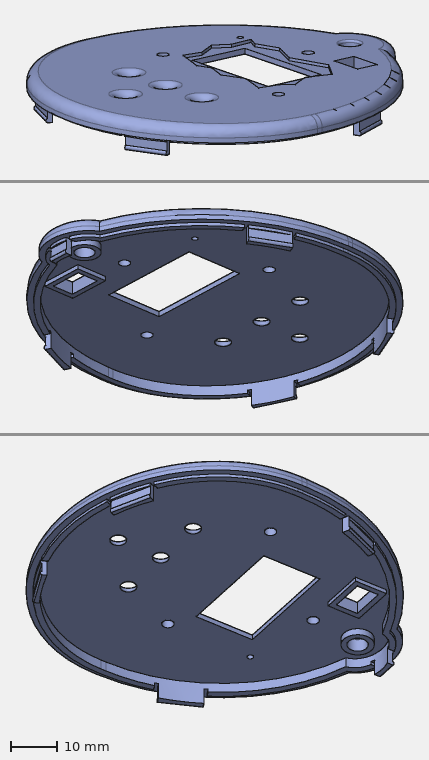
import cadquery as cq
import math

RIM_HEIGHT = 3.6
FLOOR_THICKNESS = 2.0
LIP_DEPTH = 0.8
TAB_DEPTH = 3.9
EDGE_RADIUS = 2.5

BODY_HALF_WIDTH = 40.2
LOWER_CENTRE_Y = -7.8
LOWER_HALF_HEIGHT = 35.45
UPPER_CENTRE_Y = -6.5
UPPER_RADIUS = 47.3

EAR_CENTRE_Y = 34.8
EAR_HALF_WIDTH = 10.0
EAR_HALF_HEIGHT = 8.5

LIP_INSET = 1.5
CAVITY_INSET = 2.9

TAB_LENGTH = 10.0
TOP_TAB_LENGTH = 5.0
TAB_TILT = 24.0
TAB_BLANK_DEPTH = 3.9
TAB_GAP = 0.9
HOOK_HEIGHT = 1.0
HOOK_REACH = 0.35
SIDE_TAB_X, SIDE_TAB_Y = 34.85, 11.2
LOWER_TAB_X, LOWER_TAB_Y = 17.9, -37.3
TOP_TAB_Y = 41.3
TABS = [
    (0, TOP_TAB_Y, 90, TOP_TAB_LENGTH),
    (SIDE_TAB_X, SIDE_TAB_Y, TAB_TILT, TAB_LENGTH),
    (-SIDE_TAB_X, SIDE_TAB_Y, 180 - TAB_TILT, TAB_LENGTH),
    (LOWER_TAB_X, LOWER_TAB_Y, TAB_TILT - 90, TAB_LENGTH),
    (-LOWER_TAB_X, LOWER_TAB_Y, -90 - TAB_TILT, TAB_LENGTH),
]

WINDOW_WIDTH, WINDOW_HEIGHT = 26.0, 14.6
WINDOW_CENTRE = (0, 7.95)
RECESS_DEPTH = 0.7
RECESS_OUTLINE = [
    (-15.7, 19.2), (-12.6, 17.7), (-6.75, 19.8), (0.4, 16.7), (10.1, 19.8), (16.25, 15.8),
    (14.4, 9.7), (17.3, 4.7), (15.4, 2.0), (14.4, -3.2), (7.1, -0.8), (1.55, -3.2),
    (-3.9, -1.3), (-7.4, -2.7), (-15.5, 0.1), (-14.7, 4.7), (-17.6, 9.8), (-15.5, 13.6),
]

PORT_WIDTH, PORT_HEIGHT = 8.0, 5.45
PORT_WALL = 1.3
PORT_DEPTH = 3.0
PORT_CENTRE = (12.5, 25.3)

SCREW_DIAMETER = 2.7
SCREW_POINTS = [(0, 22.3), (-18.6, -2.9), (20.9, -2.9)]
PIN_DIAMETER = 1.4
PIN_POINT = (-18.3, 18.3)
HANG_DIAMETER = 4.6
HANG_POINT = (0, 33.9)
HANG_COLLAR_DIAMETER = 7.2
HANG_ROUNDING = 0.5
BUTTON_DIAMETER = 3.6
BUTTON_FLARE = 1.8
BUTTON_PITCH = 12.45
BUTTON_ROW_Y = -17.4
LOWER_BUTTON_Y = -28.45
BUTTON_POINTS = [(i * BUTTON_PITCH, BUTTON_ROW_Y) for i in (-1, 0, 1)] + [(0, LOWER_BUTTON_Y)]


def body_slab(inset, bottom, height):
    """Egg-shaped slab with its outline moved inwards by inset."""
    half_width = BODY_HALF_WIDTH - inset
    radius = UPPER_RADIUS - inset
    arc_centre_x = half_width - radius
    apex_angle = math.acos(-arc_centre_x / radius)
    apex = (0, UPPER_CENTRE_Y + radius * math.sin(apex_angle))
    mid_x = arc_centre_x + radius * math.cos(apex_angle / 2)
    mid_y = UPPER_CENTRE_Y + radius * math.sin(apex_angle / 2)
    return (
        cq.Workplane("XY", origin=(0, 0, bottom))
        .moveTo(half_width, LOWER_CENTRE_Y)
        .lineTo(half_width, UPPER_CENTRE_Y)
        .threePointArc((mid_x, mid_y), apex)
        .threePointArc((-mid_x, mid_y), (-half_width, UPPER_CENTRE_Y))
        .lineTo(-half_width, LOWER_CENTRE_Y)
        .ellipseArc(half_width, LOWER_HALF_HEIGHT - inset, 180, 360, startAtCurrent=True)
        .close()
        .extrude(height)
    )


def ear_slab(inset, bottom, height):
    """Elliptical slab of the ear with its outline moved inwards by inset."""
    return (
        cq.Workplane("XY", origin=(0, EAR_CENTRE_Y, bottom))
        .ellipse(EAR_HALF_WIDTH - inset, EAR_HALF_HEIGHT - inset)
        .extrude(height)
    )


def outline_slab(inset, bottom, height):
    """Slab with the whole outline, body and ear together."""
    return body_slab(inset, bottom, height).union(ear_slab(inset, bottom, height))


def place_tab_shape(shape, x, y, angle):
    """Turn a shape modelled facing +X and move it to its tab position."""
    return shape.rotate((0, 0, 0), (0, 0, 1), angle).translate((x, y, 0))


def slot_pair(length):
    """Cutters for the two gaps in the lip that free the ends of a tab."""
    offset = (length + TAB_GAP) / 2
    return (
        cq.Workplane("XY", origin=(0, 0, -LIP_DEPTH))
        .pushPoints([(0, -offset), (0, offset)])
        .rect(2 * TAB_BLANK_DEPTH, TAB_GAP)
        .extrude(LIP_DEPTH)
    )


def tab_blank(length):
    """Tab with a flat outer face and a rounded hook along its lower edge."""
    return (
        cq.Workplane("XZ", origin=(0, length / 2, 0))
        .moveTo(-TAB_BLANK_DEPTH, 0)
        .lineTo(0, 0)
        .lineTo(0, HOOK_HEIGHT - TAB_DEPTH)
        .threePointArc((HOOK_REACH, HOOK_HEIGHT / 2 - TAB_DEPTH), (0, -TAB_DEPTH))
        .lineTo(-TAB_BLANK_DEPTH, -TAB_DEPTH)
        .close()
        .extrude(length)
    )


def cylinders(points, diameter):
    """Cylinders from the rim underside to the top face at the given points."""
    return cq.Workplane("XY").pushPoints(points).circle(diameter / 2).extrude(RIM_HEIGHT)


def flared_hole(point, diameter, rounding):
    """Hole cutter whose upper edge opens out in a quarter round."""
    radius = diameter / 2
    diagonal = rounding * (1 - math.sqrt(0.5))
    return (
        cq.Workplane("XZ")
        .lineTo(radius, 0)
        .lineTo(radius, RIM_HEIGHT - rounding)
        .threePointArc((radius + diagonal, RIM_HEIGHT - diagonal), (radius + rounding, RIM_HEIGHT))
        .lineTo(0, RIM_HEIGHT)
        .close()
        .revolve(360, (0, 0, 0), (0, 1, 0))
        .translate((*point, 0))
    )


def rectangular_block(centre, width, height, depth):
    """Rectangular block reaching down from the top face by depth."""
    bottom = RIM_HEIGHT - depth
    return cq.Workplane("XY", origin=(*centre, bottom)).rect(width, height).extrude(depth)


body = body_slab(0, 0, RIM_HEIGHT).faces(">Z").edges().fillet(EDGE_RADIUS)
ear = ear_slab(0, 0, RIM_HEIGHT).faces(">Z").edges().fillet(EDGE_RADIUS)
lip = outline_slab(LIP_INSET, -LIP_DEPTH, LIP_DEPTH)
for x, y, angle, length in TABS:
    lip = lip.cut(place_tab_shape(slot_pair(length), x, y, angle))
result = body.union(ear).union(lip)

for x, y, angle, length in TABS:
    result = result.union(place_tab_shape(tab_blank(length), x, y, angle))
cavity_height = TAB_DEPTH + RIM_HEIGHT - FLOOR_THICKNESS
result = result.cut(outline_slab(CAVITY_INSET, -TAB_DEPTH, cavity_height))

result = result.union(cylinders([HANG_POINT], HANG_COLLAR_DIAMETER))
port_collar = rectangular_block(
    PORT_CENTRE, PORT_WIDTH + 2 * PORT_WALL, PORT_HEIGHT + 2 * PORT_WALL, PORT_DEPTH
)
result = result.union(port_collar)

recess = cq.Workplane("XY", origin=(0, 0, RIM_HEIGHT - RECESS_DEPTH)).polyline(RECESS_OUTLINE).close()
result = result.cut(recess.extrude(RECESS_DEPTH))
result = result.cut(rectangular_block(WINDOW_CENTRE, WINDOW_WIDTH, WINDOW_HEIGHT, FLOOR_THICKNESS))
result = result.cut(rectangular_block(PORT_CENTRE, PORT_WIDTH, PORT_HEIGHT, PORT_DEPTH))
result = result.cut(cylinders(SCREW_POINTS, SCREW_DIAMETER))
result = result.cut(cylinders([PIN_POINT], PIN_DIAMETER))
result = result.cut(flared_hole(HANG_POINT, HANG_DIAMETER, HANG_ROUNDING))
for point in BUTTON_POINTS:
    result = result.cut(flared_hole(point, BUTTON_DIAMETER, BUTTON_FLARE))